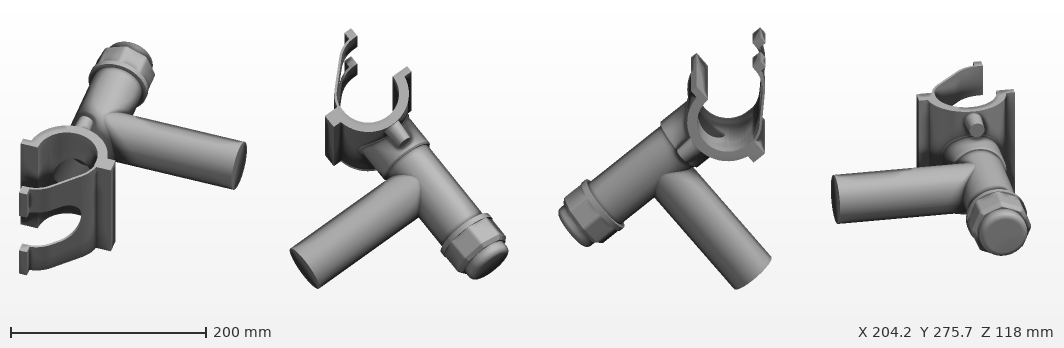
import cadquery as cq
import math


clamp_length = 118.0
clamp_bore_radius = 31.5
saddle_radius = 41.6
saddle_relief = 1.0
rim_width = 1.7
flange_reach = 50.0
flange_thickness = 7.5

boss_top_diameter = 15.5
boss_base_diameter = 19.3
boss_top_y = 61.5
boss_offset_z = 47.5

socket_diameter = 59.8
socket_end_y = 66.5
socket_chamfer = 1.7
main_diameter = 53.5
outlet_bore_diameter = 44.0
branch_diameter = 50.5
branch_y = 95.1
branch_end_x = 154.2

nut_start_y = 163.8
nut_collar_diameter = 63.0
nut_collar_length = 5.5
nut_sides = 8
nut_corner_radius = 31.2
nut_corner_fillet = 5.5
nut_facets_end_y = 196.0
nut_chamfer_length = 4.0
nut_chamfer_depth = 3.5
plug_diameter = 50.0
plug_end_y = 208.2
plug_fillet = 5.8

strap_flange_thickness = 7.7
strap_wall = 2.5
strap_straight = 35.0
strap_slope = math.radians(45)
lug_left_x = -29.2
lug_right_x = -20.7
lug_bottom_y = -67.5
window_width = 50.5


def along_y(diameter, start_y, end_y):
    """Cylinder on the Y axis between two Y positions."""
    plane = cq.Workplane("XZ", origin=(0, start_y, 0))
    return plane.circle(diameter / 2).extrude(start_y - end_y)


def along_z(radius, length):
    """Cylinder on the Z axis, centred on the XY plane."""
    return cq.Workplane("XY", origin=(0, 0, -length / 2)).circle(radius).extrude(length)


def make_saddle_shell():
    upper_half = cq.Workplane("XY").box(
        2 * flange_reach, saddle_radius, clamp_length, centered=(True, False, True)
    )
    ring = along_z(saddle_radius, clamp_length).intersect(upper_half)

    recess_length = clamp_length - 2 * rim_width
    recess = along_z(saddle_radius, recess_length).cut(
        along_z(saddle_radius - saddle_relief, recess_length)
    )
    socket_rim = along_y(socket_diameter + 2 * rim_width, 0, saddle_radius)
    ring = ring.cut(recess.cut(socket_rim))

    flanges = cq.Workplane("XY").box(
        2 * flange_reach, flange_thickness, clamp_length, centered=(True, False, True)
    )
    return ring.union(flanges)


def make_boss(z):
    root_y = (clamp_bore_radius + saddle_radius) / 2
    return (
        cq.Workplane("XZ", origin=(0, root_y, z))
        .circle(boss_base_diameter / 2)
        .workplane(offset=root_y - boss_top_y)
        .circle(boss_top_diameter / 2)
        .loft()
    )


def make_nut():
    collar = along_y(nut_collar_diameter, nut_start_y, nut_start_y + nut_collar_length)

    fillet_centre = nut_corner_radius - nut_corner_fillet
    sharp_corner = fillet_centre + nut_corner_fillet / math.cos(math.pi / nut_sides)
    facets = (
        cq.Workplane("XZ", origin=(0, nut_start_y, 0))
        .polygon(nut_sides, 2 * sharp_corner)
        .extrude(nut_start_y - nut_facets_end_y)
        .edges("|Y")
        .fillet(nut_corner_fillet)
    )
    facets = facets.faces(">Y").chamfer(nut_chamfer_length, nut_chamfer_depth)

    plug = along_y(plug_diameter, nut_start_y, plug_end_y).faces(">Y").edges().fillet(plug_fillet)
    return collar.union(facets).union(plug)


def make_tee():
    socket = along_y(socket_diameter, 0, socket_end_y).faces(">Y").chamfer(socket_chamfer)
    main_pipe = along_y(main_diameter, 0, nut_start_y)
    branch = cq.Workplane("YZ").center(branch_y, 0).circle(branch_diameter / 2).extrude(branch_end_x)

    tee = make_saddle_shell().union(socket).union(main_pipe).union(branch).union(make_nut())
    for z in (-boss_offset_z, boss_offset_z):
        tee = tee.union(make_boss(z))

    clamp_bore = along_z(clamp_bore_radius, clamp_length)
    outlet_bore = along_y(outlet_bore_diameter, 0, socket_end_y)
    return tee.cut(clamp_bore).cut(outlet_bore)


def make_strap():
    inner_radius = math.hypot(clamp_bore_radius, strap_flange_thickness)
    outer_radius = inner_radius + strap_wall
    slope_x = math.cos(strap_slope)
    slope_y = math.sin(strap_slope)
    bend_1 = cq.Vector(0, 0)
    bend_2 = bend_1 + cq.Vector(-slope_x, -slope_y) * strap_straight

    def on_bend(centre, radius, angle):
        return (centre + cq.Vector(math.cos(angle), math.sin(angle)) * radius).toTuple()[:2]

    bend_end = -strap_slope
    bend_middle = bend_end / 2
    lug_bend_middle = -math.pi / 2 + strap_slope / 2
    lug_bend_end = -math.pi / 2

    wall = (
        cq.Workplane("XY", origin=(0, 0, -clamp_length / 2))
        .moveTo(*on_bend(bend_1, inner_radius, 0))
        .threePointArc(on_bend(bend_1, inner_radius, bend_middle), on_bend(bend_1, inner_radius, bend_end))
        .lineTo(*on_bend(bend_2, inner_radius, bend_end))
        .threePointArc(
            on_bend(bend_2, inner_radius, lug_bend_middle), on_bend(bend_2, inner_radius, lug_bend_end)
        )
        .lineTo(*on_bend(bend_2, outer_radius, lug_bend_end))
        .threePointArc(
            on_bend(bend_2, outer_radius, lug_bend_middle), on_bend(bend_2, outer_radius, bend_end)
        )
        .lineTo(*on_bend(bend_1, outer_radius, bend_end))
        .threePointArc(on_bend(bend_1, outer_radius, bend_middle), on_bend(bend_1, outer_radius, 0))
        .close()
        .extrude(clamp_length)
    )

    flange = cq.Workplane("XY").box(
        flange_reach - clamp_bore_radius, strap_flange_thickness, clamp_length, centered=(False, False, True)
    ).translate((clamp_bore_radius, -strap_flange_thickness, 0))

    lug_top_y = bend_2.y - inner_radius
    lug = cq.Workplane("XY").box(
        lug_right_x - lug_left_x, lug_top_y - lug_bottom_y, clamp_length, centered=(False, False, True)
    ).translate((lug_left_x, lug_bottom_y, 0))

    window_radius = window_width / 2
    window_plane = cq.Plane(
        origin=on_bend(bend_1, outer_radius, bend_end) + (0,),
        xDir=(-slope_x, -slope_y, 0),
        normal=(slope_x, -slope_y, 0),
    )
    window_length = 2 * strap_straight + window_radius
    window = (
        cq.Workplane(window_plane)
        .moveTo(window_radius, 0)
        .circle(window_radius)
        .extrude(inner_radius, both=True)
        .union(
            cq.Workplane(window_plane)
            .center(window_radius + window_length / 2, 0)
            .rect(window_length, window_width)
            .extrude(inner_radius, both=True)
        )
    )
    return wall.union(flange).union(lug).cut(window)


tee = make_tee()
strap = make_strap()
result = cq.Compound.makeCompound([tee.val(), strap.val()])